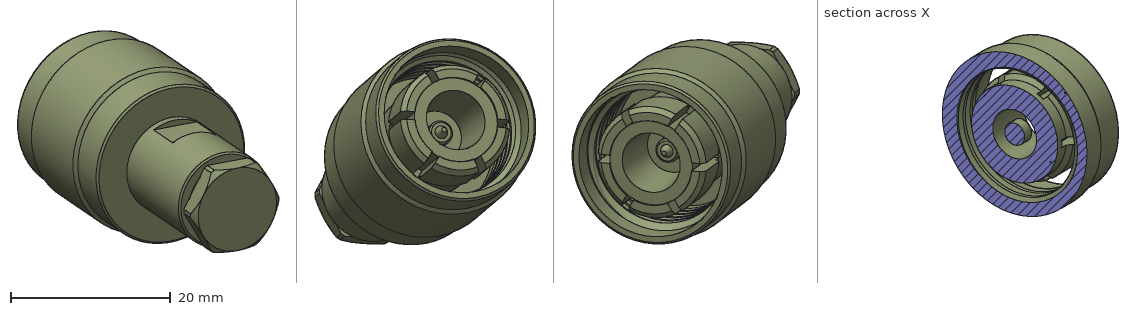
import cadquery as cq
import math

LENGTH = 39.3
SLEEVE_END = 21.62
BODY_END = 35.7
NUT_START = 36.75

BAND_RADIUS = 11.0
SLEEVE_RADIUS = 10.55
BAND_START = 4.4
BAND_END = 16.47
SLEEVE_CHAMFER = 0.28

MOUTH_RADIUS = 9.5
MOUTH_DEPTH = 3.03
CAVITY_FLOOR = 12.58

THREAD_CREST_RADIUS = 8.73
THREAD_ROOT_RADIUS = 9.47
THREAD_PITCH = 1.57
THREAD_START = 1.25
THREAD_TURNS = 6
FLANK_ANGLE = 30.0
ROOT_FLAT = THREAD_PITCH / 8
CUTTER_OVERLAP = 0.1

COLLET_FRONT = 0.0
LIP_RADIUS = 7.2
COLLET_NECK_RADIUS = 6.55
LIP_CHAMFER_LENGTH = 0.6
LIP_END = 5.5
COLLET_INNER_RADIUS = 5.45
INSULATOR_RECESS = 0.28
SLOT_COUNT = 6
SLOT_WIDTH = 1.05
SLOT_DEPTH = 7.08
SLOT_INNER_RADIUS = 4.1

BORE_MOUTH_RADIUS = 3.85
BORE_FLOOR_RADIUS = 3.25
BORE_DEPTH = 7.85
PIN_RADIUS = 1.55
PIN_CHAMFER = 0.25
PIN_LENGTH = 1.95
TIP_BASE_RADIUS = 0.83
TIP_END_RADIUS = 0.3
TIP_LENGTH = 1.18

BODY_RADIUS = 6.33
BODY_CHAMFER = 0.25
FLAT_HALF_HEIGHT = 5.55
FLAT_START = 22.65
FLAT_END = 27.7

NECK_RADIUS = 4.95
NUT_ACROSS_FLATS = 2 * FLAT_HALF_HEIGHT
NUT_CORNER_RADIUS = 6.25
NUT_END_RADIUS = 5.55


def revolve(points):
    """Solid of revolution about X from (x, radius) points."""
    return cq.Workplane("XY").polyline(points).close().revolve(360, (0, 0, 0), (1, 0, 0))


def cylinder(start, end, radius):
    return cq.Workplane("YZ", origin=(start, 0, 0)).circle(radius).extrude(end - start)


def sleeve():
    band_step = BAND_RADIUS - SLEEVE_RADIUS
    rim_radius = SLEEVE_RADIUS - SLEEVE_CHAMFER
    return revolve([
        (0, 0),
        (0, rim_radius),
        (SLEEVE_CHAMFER, SLEEVE_RADIUS),
        (BAND_START, SLEEVE_RADIUS),
        (BAND_START + band_step, BAND_RADIUS),
        (BAND_END - band_step, BAND_RADIUS),
        (BAND_END, SLEEVE_RADIUS),
        (SLEEVE_END - SLEEVE_CHAMFER, SLEEVE_RADIUS),
        (SLEEVE_END, rim_radius),
        (SLEEVE_END, 0),
    ])


def mouth():
    """Plain bore ending in the 45 degree lead-in cone, which runs on to the axis."""
    return revolve([
        (0, 0),
        (0, MOUTH_RADIUS),
        (MOUTH_DEPTH, MOUTH_RADIUS),
        (MOUTH_DEPTH + MOUTH_RADIUS, 0),
    ])


def thread_groove():
    """Helical groove whose trapezoid section narrows outward to the thread root."""
    inner_radius = THREAD_CREST_RADIUS - CUTTER_OVERLAP
    root_half = ROOT_FLAT / 2
    mouth_half = root_half + (THREAD_ROOT_RADIUS - inner_radius) * math.tan(math.radians(FLANK_ANGLE))
    path = cq.Wire.makeHelix(THREAD_PITCH, THREAD_PITCH * THREAD_TURNS, THREAD_CREST_RADIUS)
    groove = (
        cq.Workplane("XZ")
        .polyline([
            (inner_radius, -mouth_half),
            (THREAD_ROOT_RADIUS, -root_half),
            (THREAD_ROOT_RADIUS, root_half),
            (inner_radius, mouth_half),
        ])
        .close()
        .sweep(cq.Workplane(obj=path), isFrenet=True)
    )
    return groove.rotate((0, 0, 0), (0, 1, 0), 90).translate((THREAD_START, 0, 0))


def collet():
    ring = revolve([
        (COLLET_FRONT, COLLET_INNER_RADIUS),
        (COLLET_FRONT, COLLET_NECK_RADIUS),
        (COLLET_FRONT + LIP_CHAMFER_LENGTH, LIP_RADIUS),
        (LIP_END, LIP_RADIUS),
        (LIP_END + LIP_RADIUS - COLLET_NECK_RADIUS, COLLET_NECK_RADIUS),
        (CAVITY_FLOOR, COLLET_NECK_RADIUS),
        (CAVITY_FLOOR, COLLET_INNER_RADIUS),
    ])
    slot = cq.Workplane("XY").box(SLOT_DEPTH, LIP_RADIUS, SLOT_WIDTH, centered=(False, False, True))
    slot = slot.translate((COLLET_FRONT, SLOT_INNER_RADIUS, 0))
    for index in range(SLOT_COUNT):
        ring = ring.cut(slot.rotate((0, 0, 0), (1, 0, 0), index * 360 / SLOT_COUNT))
    return ring


def insulator():
    """Insulator block with its tapered bore, and the pin standing on the bore floor."""
    front = COLLET_FRONT + INSULATOR_RECESS
    floor = front + BORE_DEPTH
    block = revolve([
        (front, BORE_MOUTH_RADIUS),
        (front, COLLET_INNER_RADIUS),
        (CAVITY_FLOOR, COLLET_INNER_RADIUS),
        (CAVITY_FLOOR, 0),
        (floor, 0),
        (floor, BORE_FLOOR_RADIUS),
    ])
    shoulder = floor - PIN_LENGTH
    pin = revolve([
        (shoulder - TIP_LENGTH, 0),
        (shoulder - TIP_LENGTH, TIP_END_RADIUS),
        (shoulder, TIP_BASE_RADIUS),
        (shoulder, PIN_RADIUS - PIN_CHAMFER),
        (shoulder + PIN_CHAMFER, PIN_RADIUS),
        (floor, PIN_RADIUS),
        (floor, 0),
    ])
    return block.union(pin)


def rear_body():
    body = cylinder(SLEEVE_END, BODY_END, BODY_RADIUS).faces(">X").chamfer(BODY_CHAMFER)
    flat = cq.Workplane("XY").box(
        FLAT_END - FLAT_START, 2 * BODY_RADIUS, BODY_RADIUS, centered=(False, True, True)
    )
    for side in (1, -1):
        height = side * (FLAT_HALF_HEIGHT + BODY_RADIUS / 2)
        body = body.cut(flat.translate((FLAT_START, 0, height)))
    return body


def clamp_nut():
    """Hexagon with flats facing +Z and -Z, its corners turned down and its end chamfered."""
    hexagon = (
        cq.Workplane("YZ", origin=(NUT_START, 0, 0))
        .polygon(6, NUT_ACROSS_FLATS / math.cos(math.pi / 6))
        .extrude(LENGTH - NUT_START)
    )
    envelope = cylinder(NUT_START, LENGTH, NUT_CORNER_RADIUS)
    envelope = envelope.faces(">X").chamfer(NUT_CORNER_RADIUS - NUT_END_RADIUS)
    return hexagon.intersect(envelope)


result = (
    sleeve()
    .cut(cylinder(0, CAVITY_FLOOR, THREAD_CREST_RADIUS))
    .cut(thread_groove())
    .cut(mouth())
    .union(collet())
    .union(insulator())
    .union(rear_body())
    .union(cylinder(BODY_END, NUT_START, NECK_RADIUS))
    .union(clamp_nut())
)